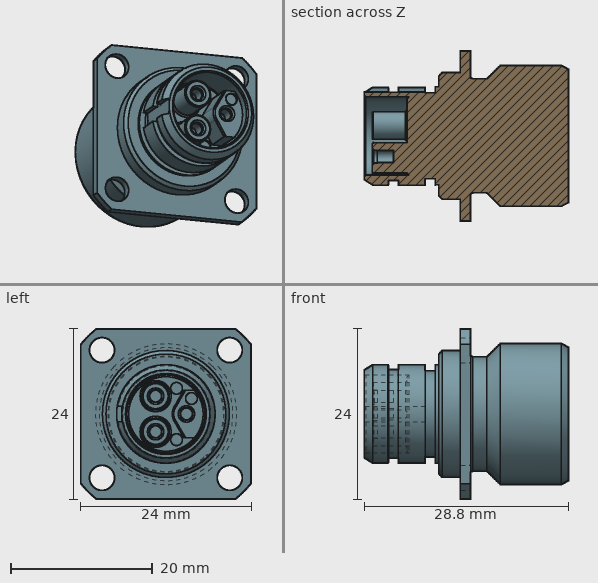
import cadquery as cq
import math


NOSE_CHAMFER_END = 1.2
FRONT_GROOVE_START = 3.45
FRONT_GROOVE_END = 4.8
REAR_GROOVE_START = 8.6
REAR_GROOVE_END = 10.0
COLLAR_START = 10.5
FLANGE_START = 13.5
FLANGE_END = 15.0
NECK_CONE_END = 15.3
SHELL_CONE_START = 17.3
SHELL_CONE_END = 19.2
SHELL_CHAMFER_START = 27.8
TOTAL_LENGTH = 28.8

NOSE_FACE_R = 6.2
NOSE_R = 6.95
FRONT_GROOVE_R = 6.28
REAR_GROOVE_R = 6.1
COLLAR_R = 8.95
NECK_R = 8.08
NECK_BASE_R = 8.2
SHELL_R = 9.95
SHELL_END_R = 9.4

GROOVE_EDGE_CHAMFER = 0.12
COLLAR_CHAMFER = 0.5

FLANGE_SIZE = 24.0
FLANGE_CORNER_R = 15.5
MOUNT_HOLE_D = 3.5
MOUNT_HOLE_PITCH = 18.0

KEYWAY_WIDTH = 2.2
KEYWAY_FLOOR_Y = 6.2

SOCKET_R = 5.5
SOCKET_MOUTH_R = 5.7
SOCKET_MOUTH_CHAMFER = SOCKET_MOUTH_R - SOCKET_R
SOCKET_DEPTH = 6.0
INSERT_EDGE_CHAMFER = 0.25
INSERT_FACE_R = SOCKET_R - INSERT_EDGE_CHAMFER


CONTACT_CIRCLE_R = 2.9
LINE_CONTACT_ANGLE = math.radians(60)
TOWER_TOP_X = 1.1
TOWER_R = 1.95
TOWER_BASE_R = 2.2
TOWER_CHAMFER = 0.18
EARTH_TOWER_R = 2.0
EARTH_TOWER_HALF_HEIGHT = 3.36
EARTH_SLOPE_ANGLE = math.radians(30)
EARTH_TOWER_CHAMFER = 0.2

CONTACT_HOLE_R = 0.84
CONTACT_ENTRY_R = 0.88
CONTACT_ENTRY_DEPTH = 0.75
CONTACT_MOUTH_R = 1.15
CONTACT_HOLE_DEPTH = 3.0

LABEL_R = 0.83
LABEL_DEPTH = 0.3
LABEL_PLACES = [
    (SOCKET_DEPTH, -1.5, 3.62),
    (SOCKET_DEPTH, -1.5, -3.62),
    (TOWER_TOP_X, -3.6, 2.18),
]

EARTH_Y = -CONTACT_CIRCLE_R
LINE_CONTACT_Y = CONTACT_CIRCLE_R * math.cos(LINE_CONTACT_ANGLE)
LINE_CONTACT_Z = CONTACT_CIRCLE_R * math.sin(LINE_CONTACT_ANGLE)
LINE_CONTACTS = [(LINE_CONTACT_Y, LINE_CONTACT_Z), (LINE_CONTACT_Y, -LINE_CONTACT_Z)]


def plane_at(x):
    """YZ plane at a given X, with local axes equal to Y and Z."""
    return cq.Workplane("YZ", origin=(x, 0, 0))


def revolve_about_x(points):
    """Closed (X, radius) profile turned about the connector axis."""
    return cq.Workplane("XY").polyline(points).close().revolve(360, (0, 0, 0), (1, 0, 0))


def turned_body():
    return revolve_about_x([
        (0, 0),
        (0, NOSE_FACE_R),
        (NOSE_CHAMFER_END, NOSE_R),
        (FRONT_GROOVE_START - GROOVE_EDGE_CHAMFER, NOSE_R),
        (FRONT_GROOVE_START, NOSE_R - GROOVE_EDGE_CHAMFER),
        (FRONT_GROOVE_START, FRONT_GROOVE_R),
        (FRONT_GROOVE_END, FRONT_GROOVE_R),
        (FRONT_GROOVE_END, NOSE_R),
        (REAR_GROOVE_START, NOSE_R),
        (REAR_GROOVE_START, REAR_GROOVE_R),
        (REAR_GROOVE_END, REAR_GROOVE_R),
        (REAR_GROOVE_END, NOSE_R),
        (COLLAR_START, NOSE_R),
        (COLLAR_START, COLLAR_R - COLLAR_CHAMFER),
        (COLLAR_START + COLLAR_CHAMFER, COLLAR_R),
        (FLANGE_START, COLLAR_R),
        (FLANGE_END, NECK_BASE_R),
        (NECK_CONE_END, NECK_R),
        (SHELL_CONE_START, NECK_R),
        (SHELL_CONE_END, SHELL_R),
        (SHELL_CHAMFER_START, SHELL_R),
        (TOTAL_LENGTH, SHELL_END_R),
        (TOTAL_LENGTH, 0),
    ])


def flange():
    thickness = FLANGE_END - FLANGE_START
    square = plane_at(FLANGE_START).rect(FLANGE_SIZE, FLANGE_SIZE).extrude(thickness)
    corner_limit = plane_at(FLANGE_START).circle(FLANGE_CORNER_R).extrude(thickness)
    holes = (
        plane_at(FLANGE_START)
        .rect(MOUNT_HOLE_PITCH, MOUNT_HOLE_PITCH, forConstruction=True)
        .vertices()
        .circle(MOUNT_HOLE_D / 2)
        .extrude(thickness)
    )
    return square.intersect(corner_limit).cut(holes)


def keyway():
    depth = NOSE_R - KEYWAY_FLOOR_Y
    slot = cq.Workplane("XY").box(REAR_GROOVE_END, depth, KEYWAY_WIDTH, centered=(False, False, True))
    return slot.translate((0, KEYWAY_FLOOR_Y, 0))


def socket():
    """Bore of the nose, with a chamfered mouth and a chamfered insert edge at its floor."""
    return revolve_about_x([
        (0, 0),
        (0, SOCKET_MOUTH_R),
        (SOCKET_MOUTH_CHAMFER, SOCKET_R),
        (SOCKET_DEPTH + INSERT_EDGE_CHAMFER, SOCKET_R),
        (SOCKET_DEPTH, INSERT_FACE_R),
        (SOCKET_DEPTH, 0),
    ])


def line_tower(y, z):
    """Round tower with a chamfered tip and a flared base."""
    flare_start = SOCKET_DEPTH - (TOWER_BASE_R - TOWER_R)
    return revolve_about_x([
        (TOWER_TOP_X, 0),
        (TOWER_TOP_X, TOWER_R - TOWER_CHAMFER),
        (TOWER_TOP_X + TOWER_CHAMFER, TOWER_R),
        (flare_start, TOWER_R),
        (SOCKET_DEPTH, TOWER_BASE_R),
        (SOCKET_DEPTH, 0),
    ]).translate((0, y, z))


def earth_tower():
    """Tower with a round front and two slopes tangent to it, reaching out to the insert edge."""
    cos_a = math.cos(EARTH_SLOPE_ANGLE)
    sin_a = math.sin(EARTH_SLOPE_ANGLE)
    tangent_y = EARTH_Y + EARTH_TOWER_R * cos_a
    tangent_z = EARTH_TOWER_R * sin_a
    shoulder_y = EARTH_Y + (EARTH_TOWER_R - EARTH_TOWER_HALF_HEIGHT * sin_a) / cos_a
    height = SOCKET_DEPTH - TOWER_TOP_X
    tower = (
        plane_at(TOWER_TOP_X)
        .moveTo(-NOSE_R, EARTH_TOWER_HALF_HEIGHT)
        .lineTo(shoulder_y, EARTH_TOWER_HALF_HEIGHT)
        .lineTo(tangent_y, tangent_z)
        .threePointArc((EARTH_Y + EARTH_TOWER_R, 0), (tangent_y, -tangent_z))
        .lineTo(shoulder_y, -EARTH_TOWER_HALF_HEIGHT)
        .lineTo(-NOSE_R, -EARTH_TOWER_HALF_HEIGHT)
        .close()
        .extrude(height)
    )
    sloped_and_round_edges = tower.faces("<X").edges("not (#Y or #Z)")
    insert_outline = plane_at(TOWER_TOP_X).circle(INSERT_FACE_R).extrude(height)
    return sloped_and_round_edges.chamfer(EARTH_TOWER_CHAMFER).intersect(insert_outline)


def contact_hole(y, z):
    """Stepped round hole with a chamfered mouth."""
    mouth_end = TOWER_TOP_X + CONTACT_MOUTH_R - CONTACT_ENTRY_R
    entry_end = TOWER_TOP_X + CONTACT_ENTRY_DEPTH
    hole_end = TOWER_TOP_X + CONTACT_HOLE_DEPTH
    return revolve_about_x([
        (TOWER_TOP_X, 0),
        (TOWER_TOP_X, CONTACT_MOUTH_R),
        (mouth_end, CONTACT_ENTRY_R),
        (entry_end, CONTACT_ENTRY_R),
        (entry_end, CONTACT_HOLE_R),
        (hole_end, CONTACT_HOLE_R),
        (hole_end, 0),
    ]).translate((0, y, z))


def label_recess(x, y, z):
    return plane_at(x).center(y, z).circle(LABEL_R).extrude(LABEL_DEPTH)


result = turned_body().union(flange()).cut(keyway()).cut(socket())
for place in LINE_CONTACTS:
    result = result.union(line_tower(*place))
result = result.union(earth_tower())
for place in LINE_CONTACTS + [(EARTH_Y, 0)]:
    result = result.cut(contact_hole(*place))
for place in LABEL_PLACES:
    result = result.cut(label_recess(*place))